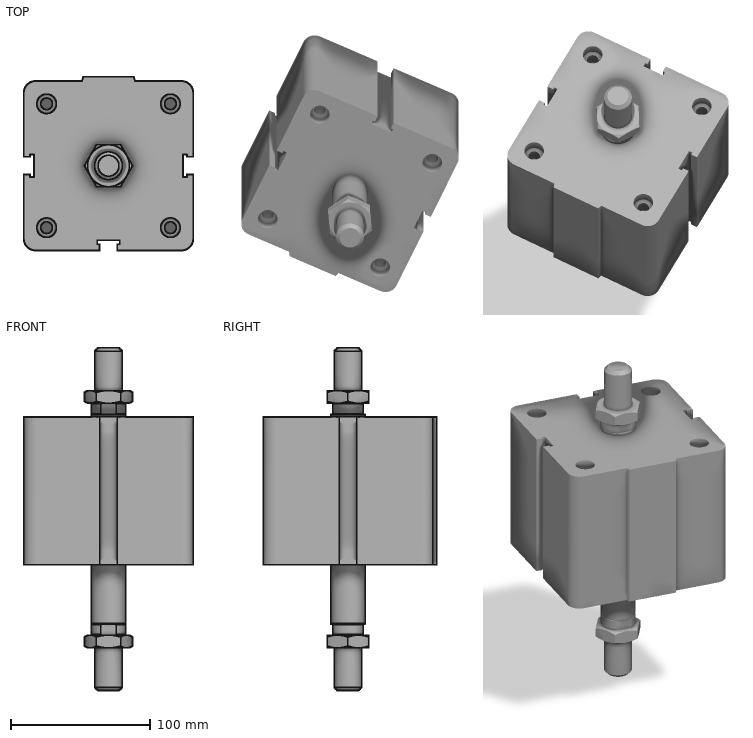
import cadquery as cq
import math

body_width = 122.0
body_height = 106.2
body_bottom = 90.5
corner_radius = 8.9
overall_depth = 125.0
rib_base_width = 38.2
rib_top_width = 36.5
rib_root = 2.5

slot_mouth_width = 12.5
slot_inner_width = 16.0
slot_depth = 7.5
slot_lip = 4.7

hole_spacing = 89.0
counterbore_diameter = 14.0
counterbore_depth = 8.5
hole_diameter = 8.5
hole_depth = 19.5

rod_length = 246.5
rod_diameter = 25.0
edge_diameter = 24.5
thread_diameter = 20.0
thread_length = 40.0
thread_chamfer = 2.5
collar_length = 8.0
flat_width = 22.2
edge_height = 0.5

nut_flats = 30.0
nut_height = 9.0
nut_chamfer_angle = 30.0

body_top = body_bottom + body_height
body_middle = body_bottom + body_height / 2
half_body = body_width / 2
collar_end = thread_length + collar_length


def rib():
    """Tapered rib along the +Y face."""
    tip = overall_depth - half_body
    return (
        cq.Workplane("XY", origin=(0, 0, body_bottom))
        .moveTo(-rib_base_width / 2, half_body - rib_root)
        .lineTo(-rib_base_width / 2, half_body)
        .lineTo(-rib_top_width / 2, tip)
        .lineTo(rib_top_width / 2, tip)
        .lineTo(rib_base_width / 2, half_body)
        .lineTo(rib_base_width / 2, half_body - rib_root)
        .close()
        .extrude(body_height)
    )


def slot_cutter():
    """T-slot through the full height of the -Y face."""
    floor = -half_body + slot_depth
    undercut = slot_depth - slot_lip
    base = cq.Workplane("XY", origin=(0, 0, body_bottom))
    mouth = base.center(0, floor - slot_depth / 2).rect(slot_mouth_width, slot_depth).extrude(body_height)
    inner = base.center(0, floor - undercut / 2).rect(slot_inner_width, undercut).extrude(body_height)
    return mouth.union(inner)


def mounting_holes():
    """Stepped blind holes in the four corners of both end faces."""
    upper = (
        cq.Workplane("XY", origin=(0, 0, body_top))
        .rect(hole_spacing, hole_spacing, forConstruction=True)
        .vertices()
        .circle(hole_diameter / 2)
        .extrude(-hole_depth)
        .faces(">Z")
        .workplane(origin=(0, 0, body_top))
        .rect(hole_spacing, hole_spacing, forConstruction=True)
        .vertices()
        .circle(counterbore_diameter / 2)
        .extrude(-counterbore_depth)
    )
    return upper.union(upper.mirror("XY", (0, 0, body_middle)))


def make_housing():
    block = (
        cq.Workplane("XY", origin=(0, 0, body_bottom))
        .rect(body_width, body_width)
        .extrude(body_height)
        .edges("|Z")
        .fillet(corner_radius)
        .union(rib())
    )
    for angle in (-90, 0, 90):
        block = block.cut(slot_cutter().rotate((0, 0, 0), (0, 0, 1), angle))
    bore = cq.Workplane("XY", origin=(0, 0, body_bottom)).circle(rod_diameter / 2).extrude(body_height)
    return block.cut(mounting_holes()).cut(bore)


def flat_cutter():
    """Wrench flat on the -Y side of the lower collar."""
    reach = rod_diameter - flat_width
    slab = cq.Workplane("XY").box(rod_diameter, reach, collar_length, centered=(True, False, False))
    return slab.translate((0, -flat_width / 2 - reach, thread_length))


def make_rod():
    """Double-ended rod, threaded at both tips; the lower half is mirrored to the upper."""
    middle = rod_length / 2
    rod_radius = rod_diameter / 2
    edge_radius = edge_diameter / 2
    thread_radius = thread_diameter / 2
    lower = (
        cq.Workplane("XZ")
        .lineTo(thread_radius - thread_chamfer, 0)
        .lineTo(thread_radius, thread_chamfer)
        .lineTo(thread_radius, thread_length)
        .lineTo(edge_radius, thread_length)
        .lineTo(rod_radius, thread_length + edge_height)
        .lineTo(rod_radius, collar_end - edge_height)
        .lineTo(edge_radius, collar_end)
        .lineTo(rod_radius, collar_end + edge_height)
        .lineTo(rod_radius, middle)
        .lineTo(0, middle)
        .close()
        .revolve(360, (0, 0, 0), (0, 1, 0))
    )
    for angle in (0, 180):
        lower = lower.cut(flat_cutter().rotate((0, 0, 0), (0, 0, 1), angle))
    return lower.union(lower.mirror("XY", (0, 0, middle)))


def make_nut(bottom):
    """Hexagon nut with both rims chamfered, its corners along X."""
    face = nut_flats / 2
    corner = face / math.cos(math.pi / 6)
    drop = (corner - face) * math.tan(math.radians(nut_chamfer_angle))
    hexagon = cq.Workplane("XY").polygon(6, 2 * corner).circle(thread_diameter / 2).extrude(nut_height)
    envelope = (
        cq.Workplane("XZ")
        .lineTo(face, 0)
        .lineTo(corner, drop)
        .lineTo(corner, nut_height - drop)
        .lineTo(face, nut_height)
        .lineTo(0, nut_height)
        .close()
        .revolve(360, (0, 0, 0), (0, 1, 0))
    )
    return hexagon.intersect(envelope).translate((0, 0, bottom))


housing = make_housing()
rod = make_rod()

nut_bottoms = (thread_length - nut_height, rod_length - thread_length)
nuts = [make_nut(bottom) for bottom in nut_bottoms]

result = cq.Compound.makeCompound([housing.val(), rod.val(), *[nut.val() for nut in nuts]])